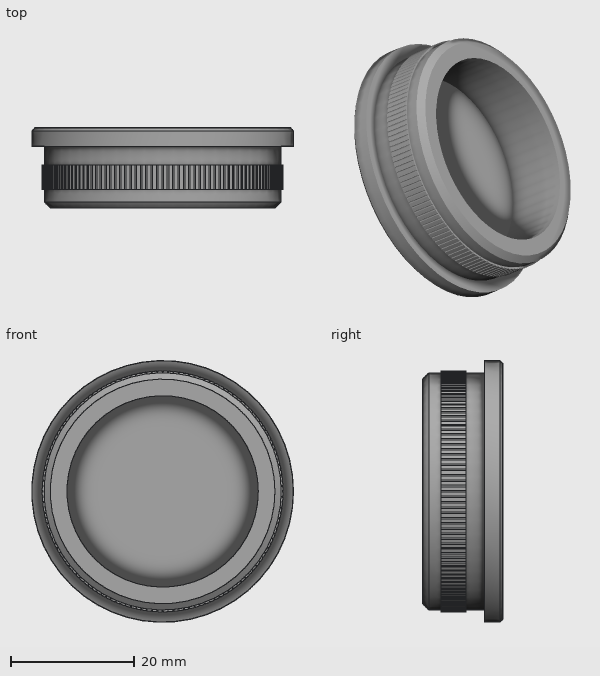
import cadquery as cq
import math

total_length = 13.0
flange_diameter = 42.4
flange_thickness = 3.0
flange_chamfer = 0.5
body_length = total_length - flange_thickness
body_diameter = 38.4
nose_chamfer = 1.0

pocket_diameter = 31.0
pocket_depth = body_length

knurl_diameter = 39.0
knurl_width = 4.0
knurl_to_nose = 3.0
groove_count = 140
groove_radius = 0.13


def disc(diameter, front, length):
    """Solid cylinder along +Y with its front face at Y = front."""
    plane = cq.Workplane("XZ", origin=(0, front, 0))
    return plane.circle(diameter / 2).extrude(-length)


def on_circle(radius, angle):
    """Point at a given radius and angle around the axis."""
    return (radius * math.cos(angle), radius * math.sin(angle))


def knurled_band():
    """Band cut by evenly spaced half-round grooves parallel to the axis."""
    pitch = 2 * math.pi / groove_count
    radius = knurl_diameter / 2
    half_groove = groove_radius / radius
    outline = cq.Workplane("XZ", origin=(0, knurl_to_nose, 0))
    outline = outline.moveTo(*on_circle(radius, -half_groove))
    for groove in range(groove_count):
        angle = groove * pitch
        groove_floor = on_circle(radius - groove_radius, angle)
        groove_end = on_circle(radius, angle + half_groove)
        land_middle = on_circle(radius, angle + pitch / 2)
        land_end = on_circle(radius, angle + pitch - half_groove)
        outline = outline.threePointArc(groove_floor, groove_end)
        outline = outline.threePointArc(land_middle, land_end)
    return outline.close().extrude(-knurl_width)


flange = disc(flange_diameter, body_length, flange_thickness)
flange = flange.faces(">Y").chamfer(flange_chamfer)

body = disc(body_diameter, 0, body_length)
body = body.faces("<Y").chamfer(nose_chamfer)

pocket = disc(pocket_diameter, 0, pocket_depth)

result = body.union(knurled_band()).union(flange).cut(pocket)